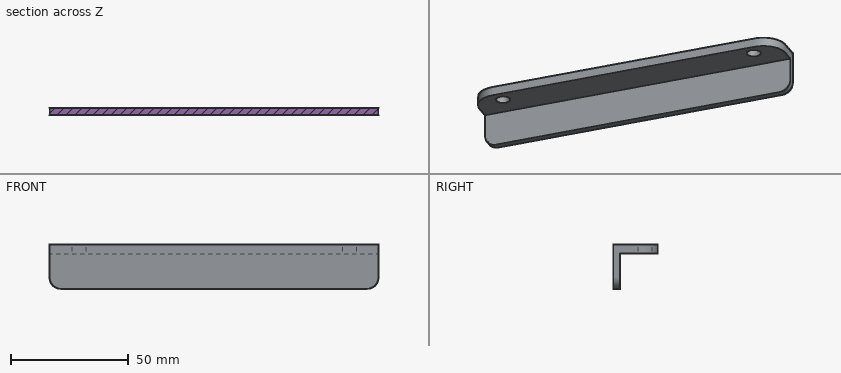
import cadquery as cq

length = 140.0
depth = 19.0
height = 19.0

flange_thickness = 4.0
flange_corner_radius = 10.0

wall_thickness = 3.0
wall_corner_radius = 5.0

hole_diameter = 6.0
hole_spacing = 115.0
hole_edge_distance = 5.5


def make_flange():
    """Top plate with its two rear corners rounded."""
    plate = cq.Workplane("XY").box(length, depth, flange_thickness, centered=(True, False, False))
    plate = plate.edges("|Z and >Y").fillet(flange_corner_radius)
    return plate.translate((0, 0, height - flange_thickness))


def make_wall():
    """Front wall with its two lower corners rounded."""
    wall = cq.Workplane("XY").box(length, wall_thickness, height, centered=(True, False, False))
    return wall.edges("|Y and <Z").fillet(wall_corner_radius)


def make_holes():
    """Cutters for the pair of holes near the rear edge of the flange."""
    hole_y = depth - hole_edge_distance
    hole_points = [(side * hole_spacing / 2, hole_y) for side in (-1, 1)]
    return cq.Workplane("XY").pushPoints(hole_points).circle(hole_diameter / 2).extrude(height)


result = make_flange().union(make_wall()).cut(make_holes())